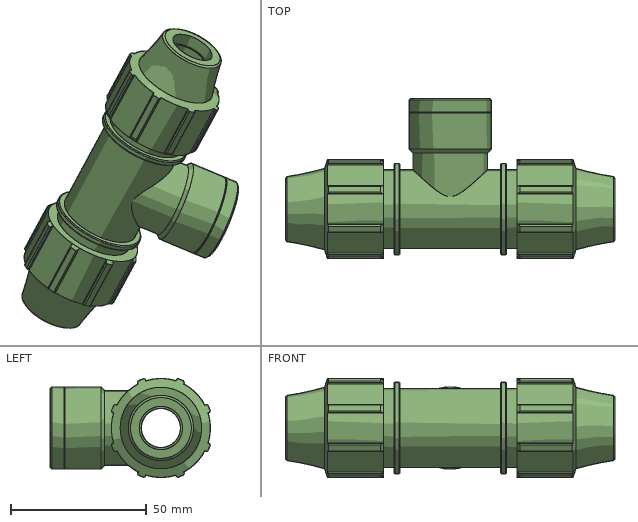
import cadquery as cq

run_length = 122.0
run_diameter = 29.25
half_run = run_length / 2

bore_diameter = 14.4
pipe_socket_diameter = 16.0
pipe_socket_depth = 4.4

collar_diameter = 33.93
collar_inner_x = 18.6
collar_width = 2.2
collar_chamfer = 0.4

nut_diameter = 36.7
nut_inner_x = 24.6
nut_outer_x = 45.4
nut_shoulder_length = 1.1
nut_shoulder_diameter = 30.15
nose_diameter = 24.12
nose_edge_length = 0.55
nose_face_diameter = 22.5
nose_sag = 0.25

rib_count = 8
rib_width = 3.2
rib_tip_radius = 19.35
rib_edge_chamfer = 0.5
rib_lead_in = 1.2

branch_length = 41.0
branch_neck_diameter = 27.73
branch_socket_diameter = 30.5
branch_socket_start = 22.2
branch_cone_length = (branch_socket_diameter - branch_neck_diameter) / 2
branch_mouth_chamfer = 0.7
branch_groove_y = 35.7
branch_groove_width = 0.4
branch_groove_depth = 0.15


def cylinder_x(diameter, start_x, length):
    """Cylinder on the X axis."""
    return cq.Workplane("YZ", origin=(start_x, 0, 0)).circle(diameter / 2).extrude(length)


def cylinder_y(diameter, start_y, length):
    """Cylinder on the Y axis, growing towards +Y."""
    return cq.Workplane("XZ", origin=(0, start_y, 0)).circle(diameter / 2).extrude(-length)


def revolve_x(profile):
    """Turn a closed XY profile about the X axis."""
    return profile.close().revolve(360, (0, 0, 0), (1, 0, 0))


def make_nose():
    """Tapered nose, slightly hollow along its length, with a bevelled front edge."""
    base_x = nut_outer_x + nut_shoulder_length
    tip_x = half_run - nose_edge_length
    base_radius = nut_shoulder_diameter / 2
    tip_radius = nose_diameter / 2
    middle = ((base_x + tip_x) / 2, (base_radius + tip_radius) / 2 - nose_sag)
    return revolve_x(
        cq.Workplane("XY")
        .moveTo(nut_outer_x, 0)
        .lineTo(nut_outer_x, base_radius)
        .lineTo(base_x, base_radius)
        .threePointArc(middle, (tip_x, tip_radius))
        .lineTo(half_run, nose_face_diameter / 2)
        .lineTo(half_run, 0)
    )


def make_rib(length):
    """Grip rib pointing along +Z, rooted on the nut axis, with bevelled tip edges."""
    return (
        cq.Workplane("XY", origin=(nut_inner_x, 0, 0))
        .box(length, rib_width, rib_tip_radius, centered=(False, True, False))
        .faces(">Z")
        .edges("|X")
        .chamfer(rib_edge_chamfer)
    )


def make_nut():
    """Ribbed nut whose outer end and rib ends are trimmed by cones."""
    shoulder_x = nut_outer_x + nut_shoulder_length
    length = shoulder_x - nut_inner_x
    nut = cylinder_x(nut_diameter, nut_inner_x, length)
    body_radius = nut_diameter / 2
    shoulder_radius = nut_shoulder_diameter / 2
    shoulder_slope = nut_shoulder_length / (body_radius - shoulder_radius)
    rib_end_x = shoulder_x - (rib_tip_radius - shoulder_radius) * shoulder_slope
    envelope = revolve_x(
        cq.Workplane("XY")
        .moveTo(nut_inner_x, 0)
        .lineTo(nut_inner_x, body_radius)
        .lineTo(nut_inner_x + rib_lead_in, rib_tip_radius)
        .lineTo(rib_end_x, rib_tip_radius)
        .lineTo(shoulder_x, shoulder_radius)
        .lineTo(shoulder_x, 0)
    )
    for index in range(rib_count):
        rib_angle = (index + 0.5) * 360 / rib_count
        nut = nut.union(make_rib(length).rotate((0, 0, 0), (1, 0, 0), rib_angle))
    return nut.intersect(envelope)


def make_collar():
    return cylinder_x(collar_diameter, collar_inner_x, collar_width).edges().chamfer(collar_chamfer)


def make_branch():
    """Neck with a wider end socket that starts with a cone and has a fine ring groove."""
    neck = cylinder_y(branch_neck_diameter, 0, branch_length)
    socket_length = branch_length - branch_socket_start
    socket = (
        cylinder_y(branch_socket_diameter, branch_socket_start, socket_length)
        .faces(">Y")
        .chamfer(branch_mouth_chamfer)
    )
    cone_start = branch_socket_start - branch_cone_length
    cone = (
        cq.Workplane("XY")
        .moveTo(0, cone_start)
        .lineTo(branch_neck_diameter / 2, cone_start)
        .lineTo(branch_socket_diameter / 2, branch_socket_start)
        .lineTo(0, branch_socket_start)
        .close()
        .revolve(360, (0, 0, 0), (0, 1, 0))
    )
    groove_floor = branch_socket_diameter - 2 * branch_groove_depth
    groove_start = branch_groove_y - branch_groove_width / 2
    groove = cylinder_y(branch_socket_diameter, groove_start, branch_groove_width).cut(
        cylinder_y(groove_floor, groove_start, branch_groove_width)
    )
    return neck.union(cone).union(socket).cut(groove)


run = cylinder_x(run_diameter, -nut_outer_x, 2 * nut_outer_x)
run_end = make_nut().union(make_nose()).union(make_collar())
result = run.union(make_branch()).union(run_end).union(run_end.mirror("YZ"))

bore = cylinder_x(bore_diameter, -half_run, run_length)
pipe_socket = cylinder_x(pipe_socket_diameter, half_run - pipe_socket_depth, pipe_socket_depth)
result = result.cut(bore).cut(pipe_socket).cut(pipe_socket.mirror("YZ"))